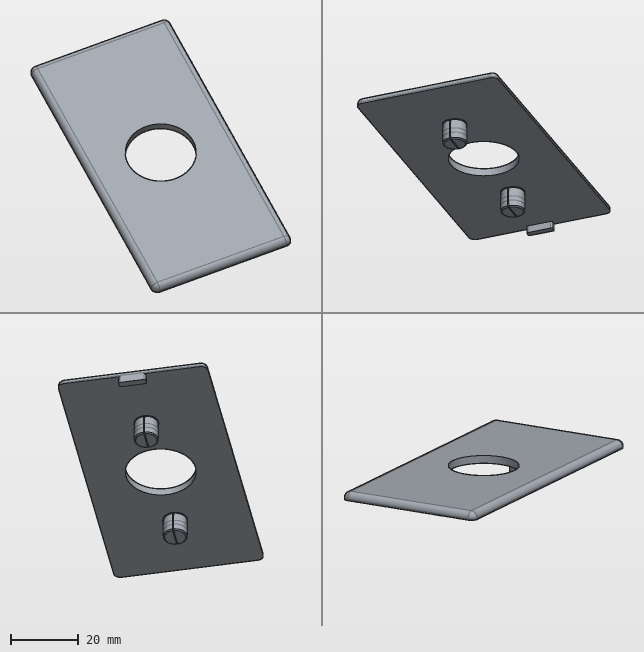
import cadquery as cq

length = 90.0
width = 45.0
total_height = 9.0
plate_thickness = 2.4
rim_radius = 2.0
hole_diameter = 21.0

pin_spacing = 45.0
pin_diameter = 7.0
lip_diameter = 7.3
lip_top_depth = 3.1
lip_bottom_depth = 4.5
pin_length = total_height - plate_thickness
pin_edge_chamfer = 0.4
root_flare = 0.2
slit_width = 0.4

tab_thickness = 2.0
tab_width = 8.2
tab_height = 2.25
tab_corner_radius = 0.45


def make_plate():
    plate = cq.Workplane("XY").box(length, width, plate_thickness, centered=(True, True, False))
    plate = plate.edges("|Z").fillet(rim_radius)
    plate = plate.faces(">Z").edges().fillet(rim_radius)
    hole = cq.Workplane("XY").circle(hole_diameter / 2).extrude(plate_thickness)
    return plate.cut(hole)


def make_pin():
    pin_radius = pin_diameter / 2
    lip_radius = lip_diameter / 2
    half_section = [
        (0, 0),
        (pin_radius + root_flare, 0),
        (pin_radius, -root_flare),
        (lip_radius, -lip_top_depth),
        (lip_radius, -lip_bottom_depth),
        (pin_radius, -pin_length + pin_edge_chamfer),
        (pin_radius - pin_edge_chamfer, -pin_length),
        (0, -pin_length),
    ]
    pin = cq.Workplane("XZ").polyline(half_section).close().revolve(360, (0, 0, 0), (0, 1, 0))
    slit = cq.Workplane("XY").box(
        2 * lip_diameter, slit_width, pin_length, centered=(True, True, False)
    )
    return pin.cut(slit.translate((0, 0, -pin_length)))


def make_tab():
    tab = cq.Workplane("XY").box(
        tab_thickness, tab_width, tab_height, centered=(False, True, False)
    )
    tab = tab.edges("|Z").fillet(tab_corner_radius)
    return tab.translate((-length / 2, 0, -tab_height))


result = make_plate().union(make_tab())
for side in (-1, 1):
    result = result.union(make_pin().translate((side * pin_spacing / 2, 0, 0)))